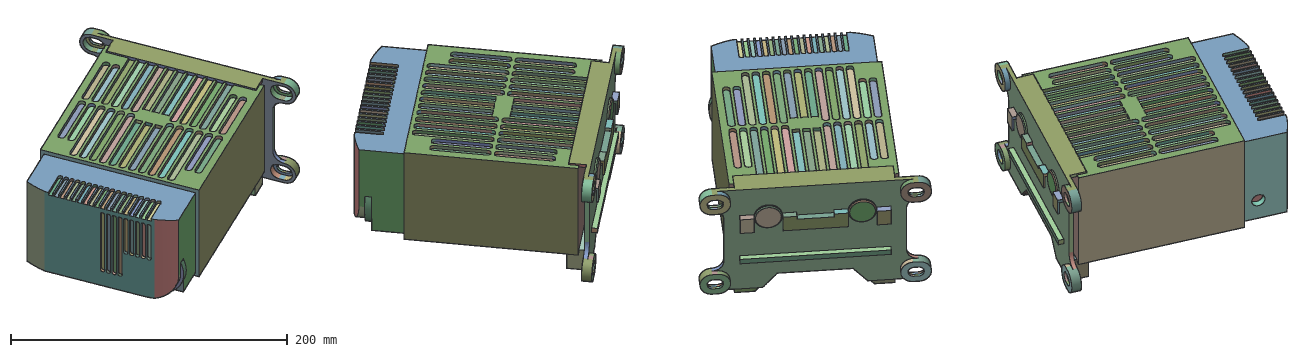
import cadquery as cq


body_width = 123.3
body_height = 81.5
body_back = -5.4
body_front = -132.5
body_middle = (body_back + body_front) / 2
body_top = body_height / 2

hood_width = 118.0
hood_height = 74.8
hood_front = -171.5
hood_top = hood_height / 2
hood_flat_half = 42.6
hood_side_setback = 5.8
bow_bulge = 0.5
hood_overlap = 1.8

body_slot_width = 5.4
body_slot_depth = 2.9
body_slot_columns = 7
body_slot_span = 106.5
body_slot_pitch = body_slot_span / (2 * body_slot_columns)
flat_ended_columns = 1
long_columns = 5
slot_inner = 1.3
pad_inner = 6.5
short_slot_outer = 45.8
long_slot_outer = 60.8

hood_slot_width = 3.2
hood_slot_depth = 2.3
hood_slot_count = 18
hood_slot_span = 76.5
hood_slot_pitch = hood_slot_span / (hood_slot_count - 1)
top_slot_length = 20.9
front_slot_first = 9
front_slot_short = 13
front_slot_top = 31.3
front_slot_long_bottom = -24.0
front_slot_short_bottom = -2.0

cable_hole_radius = 5.0
cable_hole_depth = 4.9
cable_hole_setback = 27.5
cable_hole_z = -20.5

dial_radius = 23.4
dial_x = 38.0
dial_z = -16.2
dial_setback = 10.0
dial_thickness = 5.0
hood_corner_radius = hood_width / 2 - dial_x

plate_thickness = 3.5
web_width = 132.5
ear_radius = 9.2
ear_span_x = 145.8
ear_top_z = 32.9
ear_bottom_z = -41.7
ear_thickness = 7.5
ear_stretch = 4.0
ear_blend_radius = 8.6
ear_slot_length = 11.7
ear_slot_width = 8.3
ear_recess_length = 16.9
ear_recess_width = 13.0
ear_recess_depth = 5.4
plate_top = ear_top_z + ear_radius
plate_bottom = ear_bottom_z - ear_radius

lip_width = 116.5
lip_length = 13.0
lip_thickness = 2.7
foot_length = 14.4
foot_top = -38.5
foot_bottom = -57.0
foot_outer_x = 58.2
foot_inner_bottom_x = 43.3
foot_inner_top_x = 27.5

clip_back = 8.3
clip_outer_x = 54.8
hook_width = 10.2
inner_hook_x = 23.7
hook_top = 18.0
hook_bottom = 5.2
hook_wall = 1.5
hook_web = 2.7
rail_stop_top = -19.8
rail_stop_bottom = -23.9
button_radius = 10.2
button_height = 2.2
button_bevel = 0.9
button_x = 34.2
button_z = 16.2


def box(x_min, x_max, y_min, y_max, z_min, z_max):
    """Box between two opposite corners."""
    size = (x_max - x_min, y_max - y_min, z_max - z_min)
    return cq.Workplane("XY").box(*size, centered=False).translate((x_min, y_min, z_min))


def plane_facing_back(y):
    """XZ work plane at the given Y; its normal points towards +Y and its x axis towards -X."""
    return cq.Workplane(cq.Plane((0, y, 0), xDir=(-1, 0, 0), normal=(0, 1, 0)))


def top_slot(x, y_near, y_far, width, top, depth):
    """Round-ended cutter, sunk into a top face, between two Y ends."""
    return (
        cq.Workplane("XY", origin=(x, (y_near + y_far) / 2, top - depth))
        .slot2D(abs(y_far - y_near), width, 90)
        .extrude(depth)
    )


def make_body():
    body = box(-body_width / 2, body_width / 2, body_front, body_back, -body_top, body_top)
    for column in range(-body_slot_columns, body_slot_columns + 1):
        x = column * body_slot_pitch
        outer = long_slot_outer if abs(column) <= long_columns else short_slot_outer
        for side in (-1, 1):
            near = body_middle + side * slot_inner
            far = body_middle + side * outer
            slot = top_slot(x, near, far, body_slot_width, body_top, body_slot_depth)
            if abs(column) <= flat_ended_columns:
                pad = box(x - body_slot_width, x + body_slot_width, body_middle - pad_inner,
                          body_middle + pad_inner, -body_top, body_top)
                slot = slot.cut(pad)
            body = body.cut(slot)
    return body


def make_hood_block():
    side_x = hood_width / 2
    side_y = hood_front + hood_side_setback
    bow_x = (side_x + hood_flat_half) / 2
    bow_y = (side_y + hood_front) / 2 - bow_bulge
    return (
        cq.Workplane("XY", origin=(0, 0, -hood_top))
        .moveTo(-side_x, body_front + hood_overlap)
        .lineTo(-side_x, side_y)
        .threePointArc((-bow_x, bow_y), (-hood_flat_half, hood_front))
        .lineTo(hood_flat_half, hood_front)
        .threePointArc((bow_x, bow_y), (side_x, side_y))
        .lineTo(side_x, body_front + hood_overlap)
        .close()
        .extrude(hood_height)
    )


def round_dial_corner(hood):
    """Round the lower right corner of the hood in front of the dial and add the dial."""
    dial_back = hood_front + dial_setback + dial_thickness
    corner = box(dial_x, hood_width / 2, hood_front, dial_back, -hood_top, dial_z)
    rounding = (
        plane_facing_back(hood_front)
        .center(-dial_x, dial_z)
        .circle(hood_corner_radius)
        .extrude(dial_setback + dial_thickness)
    )
    dial = (
        plane_facing_back(hood_front + dial_setback)
        .center(-dial_x, dial_z)
        .circle(dial_radius)
        .extrude(dial_thickness)
    )
    return hood.cut(corner.cut(rounding)).union(dial)


def cut_hood_slots(hood):
    for column in range(hood_slot_count):
        x = column * hood_slot_pitch - hood_slot_span / 2
        hood = hood.cut(top_slot(x, hood_front - hood_slot_width, hood_front + top_slot_length,
                                 hood_slot_width, hood_top, hood_slot_depth))
        if column < front_slot_first:
            continue
        bottom = front_slot_long_bottom if column < front_slot_short else front_slot_short_bottom
        front_slot = (
            plane_facing_back(hood_front)
            .center(-x, (front_slot_top + bottom) / 2)
            .slot2D(front_slot_top - bottom, hood_slot_width, 90)
            .extrude(hood_slot_depth)
        )
        hood = hood.cut(front_slot)
    return hood


def make_hood():
    hood = cut_hood_slots(round_dial_corner(make_hood_block()))
    cable_hole = (
        cq.Workplane("YZ", origin=(-hood_width / 2, hood_front + cable_hole_setback, cable_hole_z))
        .circle(cable_hole_radius)
        .extrude(cable_hole_depth)
    )
    return hood.cut(cable_hole)


def make_plate():
    web = box(-web_width / 2, web_width / 2, 0, plate_thickness, plate_bottom, plate_top)
    gap = (
        plane_facing_back(0)
        .polyline([
            (-foot_inner_top_x, foot_top),
            (foot_inner_top_x, foot_top),
            (foot_inner_bottom_x, foot_bottom),
            (-foot_inner_bottom_x, foot_bottom),
        ])
        .close()
        .extrude(plate_thickness)
    )
    plate = web.cut(gap)
    for side in (-1, 1):
        for z, inward in ((ear_top_z, -1), (ear_bottom_z, 1)):
            plate = add_ear(plate, side, z, inward)
    return plate


def add_ear(plate, side, z, inward):
    """Add one screw ear; inward is the Z direction towards the middle of the plate."""
    x = side * ear_span_x / 2
    ear_length = ear_stretch + 2 * ear_radius
    ear = plane_facing_back(0).center(-x, z).slot2D(ear_length, 2 * ear_radius).extrude(ear_thickness)

    web_x = side * web_width / 2
    blend_x = web_x + side * ear_blend_radius
    blend_z = z + inward * (ear_radius + ear_blend_radius)
    x_range = sorted((web_x, blend_x))
    z_range = sorted((z - inward * ear_radius, blend_z))
    blend = (
        plane_facing_back(0)
        .center(-blend_x, blend_z)
        .circle(ear_blend_radius)
        .extrude(plate_thickness)
    )
    flange = box(*x_range, 0, plate_thickness, *z_range).cut(blend)

    recess = (
        plane_facing_back(0)
        .center(-x, z)
        .slot2D(ear_recess_length, ear_recess_width)
        .extrude(ear_recess_depth)
    )
    screw_slot = (
        plane_facing_back(0)
        .center(-x, z)
        .slot2D(ear_slot_length, ear_slot_width)
        .extrude(ear_thickness)
    )
    return plate.union(flange).union(ear).cut(recess).cut(screw_slot)


def make_lip():
    return box(-lip_width / 2, lip_width / 2, -lip_length, 0, plate_top - lip_thickness, plate_top)


def make_foot(side):
    return (
        plane_facing_back(-foot_length)
        .polyline([
            (-side * foot_outer_x, foot_top),
            (-side * foot_outer_x, foot_bottom),
            (-side * foot_inner_bottom_x, foot_bottom),
            (-side * foot_inner_top_x, foot_top),
        ])
        .close()
        .extrude(foot_length)
    )


def make_hook(x_outer, side):
    """L-shaped hook, open downwards, whose outer side is x_outer from the middle."""
    x_range = sorted((side * x_outer, side * (x_outer - hook_width)))
    web = box(*x_range, plate_thickness, clip_back, hook_top - hook_web, hook_top)
    wall = box(*x_range, clip_back - hook_wall, clip_back, hook_bottom, hook_top)
    return web.union(wall)


def make_rail_clip():
    clip = box(-clip_outer_x, clip_outer_x, plate_thickness, ear_thickness,
               rail_stop_bottom, rail_stop_top)
    bridge_half = inner_hook_x - hook_width
    bridge = box(-bridge_half, bridge_half, plate_thickness, clip_back,
                 hook_bottom, hook_top - hook_web)
    clip = clip.union(bridge)
    for side in (-1, 1):
        button = (
            plane_facing_back(plate_thickness)
            .center(-side * button_x, button_z)
            .circle(button_radius)
            .extrude(button_height)
            .faces(">Y")
            .chamfer(button_bevel)
        )
        clip = clip.union(button)
        for x_outer in (clip_outer_x, inner_hook_x):
            clip = clip.union(make_hook(x_outer, side))
    return clip


result = (
    make_body()
    .union(make_hood())
    .union(make_plate())
    .union(make_lip())
    .union(make_foot(-1))
    .union(make_foot(1))
    .union(make_rail_clip())
)